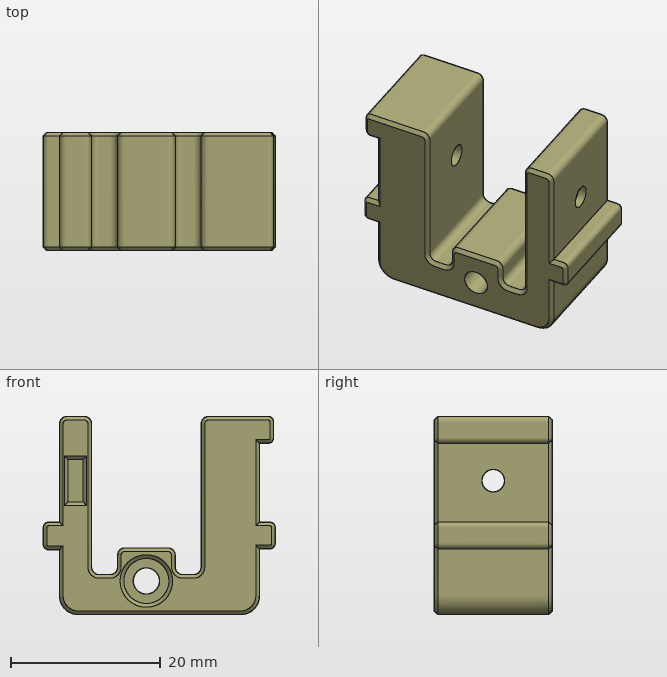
import cadquery as cq

WIDTH = 31.0
DEPTH = 15.8
HEIGHT = 26.47

BODY_LEFT = 2.17
BODY_RIGHT = 28.9
CHANNEL_LEFT = 6.48
CHANNEL_RIGHT = 21.08
CHANNEL_FLOOR = 5.35
LEFT_ARM_MIDDLE = (BODY_LEFT + CHANNEL_LEFT) / 2
RIGHT_ARM_MIDDLE = (CHANNEL_RIGHT + BODY_RIGHT) / 2

BOSS_WIDTH = 7.72
BOSS_TOP = 8.93
BOSS_CENTRE = (CHANNEL_LEFT + CHANNEL_RIGHT) / 2

LUG_TOP = 12.37
LEFT_LUG_BOTTOM = 8.65
RIGHT_LUG_BOTTOM = 8.77
HOOK_END = 30.78
HOOK_BOTTOM = 22.88

BASE_RADIUS = 2.5
ROUND_RADIUS = 1.0
BAR_RADIUS = 0.75
EDGE_CHAMFER = 0.5

SCREW_Z = 4.5
SCREW_RADIUS = 1.75
HEAD_RADIUS = 3.0
HEAD_DEPTH = 9.3

CROSS_HOLE_Z = 17.9
CROSS_HOLE_RADIUS = 1.5
NUT_SLOT_WIDTH = 1.98
NUT_SLOT_HEIGHT = 5.65
NUT_SLOT_DEPTH = DEPTH / 2 + NUT_SLOT_HEIGHT / 2

FRONT = -DEPTH / 2


def block(left, right, bottom, top):
    """Full-depth rectangular bar between the given X and Z limits."""
    return cq.Workplane("XY").box(right - left, DEPTH, top - bottom).translate(
        ((left + right) / 2, 0, (bottom + top) / 2)
    )


def front_plane(x, z, inset=0.0):
    """Workplane parallel to the front face, pointing into the part (+Y)."""
    return cq.Workplane(cq.Plane((x, FRONT + inset, z), xDir=(1, 0, 0), normal=(0, 1, 0)))


def lead_in(mouth, bottom):
    """Tapered cut from a closed wire on the front face to a smaller one behind it."""
    return cq.Workplane(cq.Solid.makeLoft([mouth.val(), bottom.val()], True))


def make_bar(left, right, bottom, top, rounded_edges):
    """Side bar whose selected outer edges are rounded."""
    return block(left, right, bottom, top).edges(rounded_edges).fillet(BAR_RADIUS)


def make_body():
    body = block(BODY_LEFT, BODY_RIGHT, 0, HEIGHT)
    body = body.edges("|Y and <Z").fillet(BASE_RADIUS)
    channel = block(CHANNEL_LEFT, CHANNEL_RIGHT, CHANNEL_FLOOR, HEIGHT)
    half_boss = BOSS_WIDTH / 2
    boss = block(BOSS_CENTRE - half_boss, BOSS_CENTRE + half_boss, CHANNEL_FLOOR, BOSS_TOP)
    channel = channel.cut(boss)
    channel = channel.edges("|Y").edges("not >Z").fillet(ROUND_RADIUS)
    return body.cut(channel)


def round_arm_tops(body):
    """Rounds the arm tops, except the corner that carries the hook."""
    return body.edges("|Y and >Z").edges("not >X").fillet(ROUND_RADIUS)


def make_screw_hole():
    x, z = BOSS_CENTRE, SCREW_Z
    hole = front_plane(x, z).circle(SCREW_RADIUS).extrude(DEPTH)
    head = front_plane(x, z).circle(HEAD_RADIUS).extrude(HEAD_DEPTH)
    mouth = front_plane(x, z).circle(HEAD_RADIUS + EDGE_CHAMFER)
    bottom = front_plane(x, z, EDGE_CHAMFER).circle(HEAD_RADIUS)
    return hole.union(head).union(lead_in(mouth, bottom))


def make_nut_slot():
    x, z = LEFT_ARM_MIDDLE, CROSS_HOLE_Z
    flare = 2 * EDGE_CHAMFER
    slot = front_plane(x, z).rect(NUT_SLOT_WIDTH, NUT_SLOT_HEIGHT).extrude(NUT_SLOT_DEPTH)
    mouth = front_plane(x, z).rect(NUT_SLOT_WIDTH + flare, NUT_SLOT_HEIGHT + flare)
    bottom = front_plane(x, z, EDGE_CHAMFER).rect(NUT_SLOT_WIDTH, NUT_SLOT_HEIGHT)
    return slot.union(lead_in(mouth, bottom))


def make_cross_hole():
    return cq.Workplane("YZ").center(0, CROSS_HOLE_Z).circle(CROSS_HOLE_RADIUS).extrude(WIDTH)


result = round_arm_tops(make_body())
result = result.union(make_bar(0, LEFT_ARM_MIDDLE, LEFT_LUG_BOTTOM, LUG_TOP, "|Y and <X"))
result = result.union(make_bar(RIGHT_ARM_MIDDLE, WIDTH, RIGHT_LUG_BOTTOM, LUG_TOP, "|Y and >X"))
result = result.union(make_bar(RIGHT_ARM_MIDDLE, HOOK_END, HOOK_BOTTOM, HEIGHT, "|Y and >X"))

result = result.clean().faces("<Y or >Y").edges().chamfer(EDGE_CHAMFER)
result = result.cut(make_screw_hole()).cut(make_nut_slot()).cut(make_cross_hole())